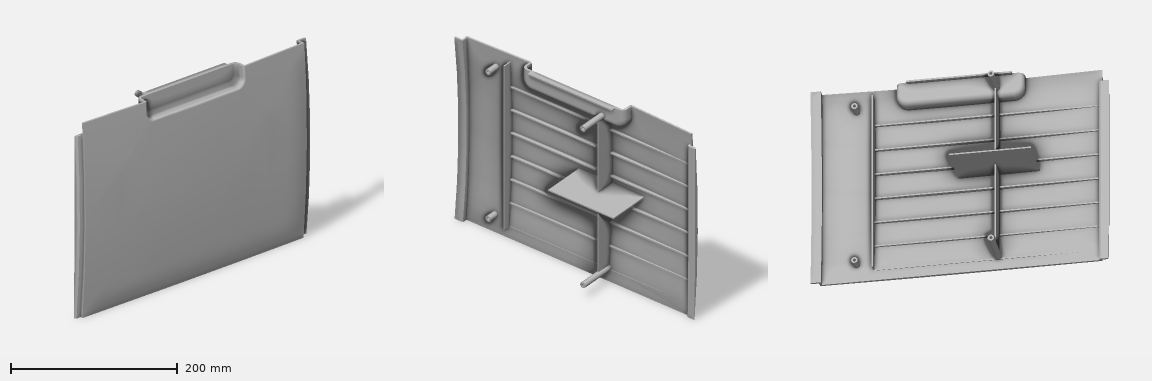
import cadquery as cq

length = 362.8
height = 260.0
wall = 2.5

panel_start = 8.7
panel_end = 352.5
panel_middle = (panel_start + panel_end) / 2
crown_z = 155.3
end_curve = (53.0, 59.0, 54.5)
middle_curve = (54.0, 62.8, 58.8)

joggle_curve = (46.0, 53.0, 45.5)
clip_front_curve = (49.7, 56.0, 50.8)
clip_back_curve = (47.0, 48.5, 48.2)
clip_height = 243.8
clip_overlap = 3.5
clip_front_bevel = 2.0
clip_back_bevel = 2.0

foot_back = end_curve[0] - wall
foot_top_back = 53.0
foot_height = 15.2

recess_start = 102.3
recess_end = 258.3
recess_depth_z = 28.5
recess_back = 40.3
recess_corner = 13.8
recess_edge = 8.0
recess_wall = 3.3
recess_mouth = 3.0
ledge_back = 35.0
ledge_thickness = 2.0

rib_thickness = 1.8
grid_start = 11.5
grid_end = 287.3
grid_bottom = 15.2
grid_pitch = 33.0
grid_count = 7
grid_curve = (51.5, 54.8, 53.7)
side_rib_back = 43.0
side_rib_top = 249.2
tall_rib_back = 32.5

post_diameter = 8.0
bore_diameter = 3.5
bore_depth = 11.0
tall_post_y = 135.3
tall_post_z = (17.8, 241.5)
tall_post_tip = 3.0
short_post_y = 308.5
short_post_z = (24.0, 234.0)
short_post_tip = 39.0

shelf_start = 86.0
shelf_end = 185.7
shelf_z = 134.5
shelf_thickness = 1.8

front_limit = 72.5


def box(x, y, z):
    """Box between the limits given for each axis."""
    return (
        cq.Workplane("XY")
        .box(x[1] - x[0], y[1] - y[0], z[1] - z[0], centered=False)
        .translate((x[0], y[0], z[0]))
    )


def section(work, curve, inset):
    """Outline from X = 0 to the arched front, moved inward by inset."""
    bottom, crown, top = (x - inset for x in curve)
    return (
        work.moveTo(0, 0)
        .lineTo(bottom, 0)
        .threePointArc((crown, crown_z), (top, height))
        .lineTo(0, height)
        .close()
    )


def filled_panel(inset):
    """Solid from X = 0 up to the double-curved face."""
    work = cq.Workplane("XZ", origin=(0, panel_start, 0))
    work = section(work, end_curve, inset)
    work = section(work.workplane(offset=panel_start - panel_middle), middle_curve, inset)
    work = section(work.workplane(offset=panel_middle - panel_end), end_curve, inset)
    return work.loft()


def straight_fill(start, end, curve, inset=0):
    """Solid along Y from X = 0 up to one arched curve."""
    work = cq.Workplane("XZ", origin=(0, start, 0))
    return section(work, curve, inset).extrude(start - end)


def edge_strip(start, end, front_curve, back_curve, back_inset=0):
    """Strip along Y between two arched curves."""
    back_fill = straight_fill(start, end, back_curve, back_inset)
    return straight_fill(start, end, front_curve).cut(back_fill)


def recess_block(margin):
    """Rounded block of the handle recess, shrunk by margin."""
    block = box(
        (recess_back + margin, front_limit),
        (recess_start + margin, recess_end - margin),
        (height - recess_depth_z + margin, height + recess_depth_z),
    )
    block = block.edges("|X and <Z").fillet(recess_corner - margin)
    return block.faces("<X").edges("not >Z").fillet(recess_edge - margin)


def rod(y, z, tip, diameter, depth):
    """Round bar along X that starts at tip."""
    return cq.Workplane("YZ", origin=(tip, y, z)).circle(diameter / 2).extrude(depth)


envelope = filled_panel(0)
behind = filled_panel(wall / 2)
panel = envelope.cut(filled_panel(wall))

joggle_web = edge_strip(panel_end - wall, panel_end, end_curve, joggle_curve, wall)
joggle_leg = edge_strip(panel_end - wall, length, joggle_curve, joggle_curve, wall)
clip_end = panel_start + clip_overlap
clip_zone = box((0, front_limit), (0, length), (0, clip_height))
clip = edge_strip(0, clip_end, clip_front_curve, clip_back_curve).intersect(clip_zone)
clip = clip.faces("<Y").edges(">X").chamfer(clip_front_bevel)
clip = clip.faces(">Y").edges("<X").chamfer(clip_back_bevel)
clip_web = edge_strip(panel_start, clip_end, end_curve, clip_front_curve, wall / 2)
clip_web = clip_web.intersect(clip_zone)

foot = (
    cq.Workplane("XZ", origin=(0, panel_start, 0))
    .moveTo(foot_back, 0)
    .lineTo(foot_top_back, foot_height)
    .lineTo(front_limit, foot_height)
    .lineTo(front_limit, 0)
    .close()
    .extrude(panel_start - panel_end)
    .intersect(behind)
)

inside = box(
    (side_rib_back, front_limit),
    (grid_end - rib_thickness / 2, grid_end + rib_thickness / 2),
    (grid_bottom, side_rib_top),
)
inside = inside.union(
    box(
        (tall_rib_back, front_limit),
        (tall_post_y - rib_thickness / 2, tall_post_y + rib_thickness / 2),
        tall_post_z,
    )
)
grid_back_fill = straight_fill(grid_start, grid_end, grid_curve)
for index in range(grid_count):
    z = grid_bottom + index * grid_pitch
    bar = box((0, front_limit), (grid_start, grid_end), (z - rib_thickness / 2, z + rib_thickness / 2))
    inside = inside.union(bar.cut(grid_back_fill))
posts = [(tall_post_y, z, tall_post_tip) for z in tall_post_z]
posts += [(short_post_y, z, short_post_tip) for z in short_post_z]
for y, z, tip in posts:
    inside = inside.union(rod(y, z, tip, post_diameter, front_limit - tip))
inside = inside.union(
    box(
        (0, front_limit),
        (shelf_start, shelf_end),
        (shelf_z - shelf_thickness / 2, shelf_z + shelf_thickness / 2),
    )
)

recess_shell = recess_block(0).intersect(envelope)
ledge = box(
    (ledge_back, recess_back + recess_wall),
    (recess_start + recess_corner, recess_end - recess_corner),
    (height - ledge_thickness, height),
)

body = (
    panel.union(joggle_web)
    .union(joggle_leg)
    .union(clip)
    .union(clip_web)
    .union(foot)
    .union(inside.intersect(behind))
    .union(recess_shell)
    .cut(recess_block(recess_wall))
)

mouth = cq.selectors.BoxSelector(
    (end_curve[2], recess_start + recess_corner, height - recess_depth_z + recess_wall / 2),
    (front_limit, recess_end - recess_corner, height - recess_depth_z + recess_wall * 3 / 2),
)
body = body.edges(mouth).fillet(recess_mouth).union(ledge)

for y, z, tip in posts:
    body = body.cut(rod(y, z, tip, bore_diameter, bore_depth))

result = body